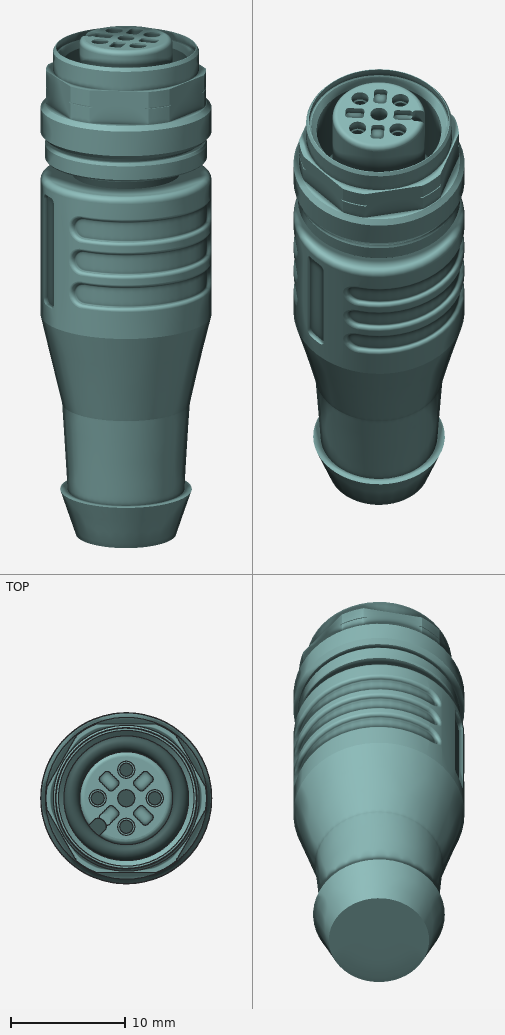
import cadquery as cq
import math

barb_bottom_dia = 8.8
barb_top_dia = 11.55
barb_height = 4.1
sleeve_bottom_dia = 10.25
sleeve_top_dia = 11.2
sleeve_top_z = 12.0
body_dia = 15.0
body_bottom_z = 20.1
body_top_z = 33.0
body_edge_radius = 0.55
neck_dia = 9.4

groove_count = 3
groove_pitch = 3.0
groove_top_center_z = 29.8
groove_height = 1.87
groove_floor_dia = 14.15
groove_end_x = 3.18
groove_edge_radius = 0.3
groove_floor_radius = 0.12

recess_width = 2.12
recess_bottom_z = 21.75
recess_top_z = 31.85
recess_corner_radius = 0.5
recess_floor_y = 7.05

flange_bottom_z = 34.0
flange_bottom_dia = 11.8
flange_top_dia = 12.0
ring_dia = 14.25
ring_bottom_z = 34.4
ring_top_z = 36.05
ring_edge_radial = 0.13
ring_top_edge_height = 0.25
ring_bottom_edge_height = 0.15
nut_neck_dia = 13.0
collar_bottom_z = 36.45
collar_top_z = 39.5
collar_chamfer = 0.4
hex_across_flats = 13.05
hex_corner_dia = 14.05
hex_top_z = 42.5
hex_mark_dia = 13.85
hex_mark_width = 0.1
nut_dia = 12.8
nut_top_z = 44.55
nut_edge_radial = 0.2
nut_edge_height = 0.3

bore_dia = 10.95
bore_floor_z = 36.2
mouth_dia = 12.3
mouth_depth = 0.7
lead_in_dia = 11.9
lead_in_height = 0.5

insert_dia = 8.15
insert_top_z = 45.4
insert_edge_radius = 0.45
contact_count = 4
contact_circle_radius = 2.5
contact_mouth_dia = 1.5
contact_mouth_depth = 0.9
contact_bore_dia = 1.15
contact_depth = 5.0
pocket_inner_r = 1.3
pocket_outer_r = 2.95
pocket_width = 1.15
pocket_depth = 0.6
pocket_corner_radius = 0.3
keyway_width = 1.3
keyway_inner_r = 2.8
keyway_shoulder_r = 3.15
keyway_angle = 225


def cylinder(diameter, bottom_z, top_z):
    return cq.Workplane("XY", origin=(0, 0, bottom_z)).circle(diameter / 2).extrude(top_z - bottom_z)


def revolve_profile(points):
    """Revolve an (r, z) outline about the Z axis."""
    return cq.Workplane("XZ").polyline(points).close().revolve(360, (0, 0), (0, 1))


def grip_body():
    tail = revolve_profile([
        (0, 0),
        (barb_bottom_dia / 2, 0),
        (barb_top_dia / 2, barb_height),
        (sleeve_bottom_dia / 2, barb_height),
        (sleeve_top_dia / 2, sleeve_top_z),
        (body_dia / 2, body_bottom_z),
        (0, body_bottom_z),
    ])
    barrel = cylinder(body_dia, body_bottom_z, body_top_z).faces(">Z").edges().fillet(body_edge_radius)
    return barrel.union(tail)


def finger_groove(side, center_z):
    """Stadium-ended band removed outside the groove floor cylinder; side is +1 or -1 in X."""
    end_radius = groove_height / 2
    arc_x = groove_end_x + end_radius
    outer_x = body_dia
    band = (
        cq.Workplane("XZ", origin=(0, body_dia, 0))
        .moveTo(side * outer_x, center_z - end_radius)
        .lineTo(side * arc_x, center_z - end_radius)
        .threePointArc((side * groove_end_x, center_z), (side * arc_x, center_z + end_radius))
        .lineTo(side * outer_x, center_z + end_radius)
        .close()
        .extrude(2 * body_dia)
    )
    band = band.cut(cylinder(groove_floor_dia, center_z - groove_height, center_z + groove_height))
    floor_point = (side * groove_floor_dia / 2, 0, center_z)
    return band.faces(cq.selectors.NearestToPointSelector(floor_point)).edges().fillet(groove_floor_radius)


def groove_rims(body):
    """Edges where the finger grooves break through the outer surface of the body."""
    half_pitch = groove_pitch / 2
    top = groove_top_center_z + half_pitch
    bottom = groove_top_center_z - (groove_count - 1) * groove_pitch - half_pitch
    tolerance = 0.01
    rims = []
    for edge in body.edges().vals():
        box = edge.BoundingBox()
        middle = edge.positionAt(0.5)
        on_surface = abs(math.hypot(middle.x, middle.y) - body_dia / 2) < tolerance
        if on_surface and box.zmin > bottom and box.zmax < top and box.zlen < groove_pitch:
            rims.append(edge)
    return body.newObject(rims)


def cut_finger_grooves(body):
    for side in (1, -1):
        for index in range(groove_count):
            body = body.cut(finger_groove(side, groove_top_center_z - index * groove_pitch))
    return groove_rims(body).fillet(groove_edge_radius)


def cut_marking_recesses(body):
    height = recess_top_z - recess_bottom_z
    depth = body_dia / 2 - recess_floor_y
    for side in (1, -1):
        block = (
            cq.Workplane("XY")
            .box(recess_width, depth, height)
            .edges("|Y")
            .fillet(recess_corner_radius)
            .translate((0, side * (recess_floor_y + depth / 2), (recess_bottom_z + recess_top_z) / 2))
        )
        body = body.cut(block)
    return body


def nut_hex():
    height = hex_top_z - collar_top_z
    hexagon = (
        cq.Workplane("XY", origin=(0, 0, collar_top_z))
        .polygon(6, hex_across_flats / math.cos(math.pi / 6))
        .extrude(height)
    )
    middle_z = collar_top_z + height / 2
    mark = cylinder(body_dia, middle_z - hex_mark_width / 2, middle_z + hex_mark_width / 2).cut(
        cylinder(hex_mark_dia, collar_top_z, hex_top_z)
    )
    return hexagon.intersect(cylinder(hex_corner_dia, collar_top_z, hex_top_z)).cut(mark)


def nut_turned_parts():
    """Flange, ring, collar and threaded end of the nut as one outline."""
    return revolve_profile([
        (0, flange_bottom_z),
        (flange_bottom_dia / 2, flange_bottom_z),
        (flange_top_dia / 2, ring_bottom_z),
        (ring_dia / 2 - ring_edge_radial, ring_bottom_z),
        (ring_dia / 2, ring_bottom_z + ring_bottom_edge_height),
        (ring_dia / 2, ring_top_z - ring_top_edge_height),
        (ring_dia / 2 - ring_edge_radial, ring_top_z),
        (nut_neck_dia / 2, ring_top_z),
        (nut_neck_dia / 2, collar_bottom_z),
        (body_dia / 2 - collar_chamfer, collar_bottom_z),
        (body_dia / 2, collar_bottom_z + collar_chamfer),
        (body_dia / 2, collar_top_z - collar_chamfer),
        (body_dia / 2 - collar_chamfer, collar_top_z),
        (nut_dia / 2, collar_top_z),
        (nut_dia / 2, nut_top_z - nut_edge_height),
        (nut_dia / 2 - nut_edge_radial, nut_top_z),
        (0, nut_top_z),
    ])


def nut_bore():
    ledge_z = nut_top_z - mouth_depth
    return revolve_profile([
        (0, bore_floor_z),
        (bore_dia / 2, bore_floor_z),
        (bore_dia / 2, ledge_z - lead_in_height),
        (lead_in_dia / 2, ledge_z),
        (mouth_dia / 2, ledge_z),
        (mouth_dia / 2, nut_top_z),
        (0, nut_top_z),
    ])


def seal_ring():
    """Half-round seal filling the gap between the insert and the bore."""
    inner_r = insert_dia / 2
    outer_r = bore_dia / 2
    crown = ((inner_r + outer_r) / 2, bore_floor_z + (outer_r - inner_r) / 2)
    return (
        cq.Workplane("XZ")
        .moveTo(inner_r, bore_floor_z)
        .threePointArc(crown, (outer_r, bore_floor_z))
        .close()
        .revolve(360, (0, 0), (0, 1))
    )


def contact_hole(x, y):
    bore = cylinder(contact_bore_dia, insert_top_z - contact_depth, insert_top_z)
    mouth = cylinder(contact_mouth_dia, insert_top_z - contact_mouth_depth, insert_top_z)
    return bore.union(mouth).translate((x, y, 0))


def insert_pocket(angle):
    length = pocket_outer_r - pocket_inner_r
    return (
        cq.Workplane("XY")
        .box(length, pocket_width, pocket_depth)
        .edges("|Z")
        .fillet(pocket_corner_radius)
        .translate((pocket_inner_r + length / 2, 0, insert_top_z - pocket_depth / 2))
        .rotate((0, 0, 0), (0, 0, 1), angle)
    )


def keyway():
    half_width = keyway_width / 2
    return (
        cq.Workplane("XY", origin=(0, 0, bore_floor_z))
        .moveTo(insert_dia, -half_width)
        .lineTo(keyway_shoulder_r, -half_width)
        .threePointArc((keyway_inner_r, 0), (keyway_shoulder_r, half_width))
        .lineTo(insert_dia, half_width)
        .close()
        .extrude(insert_top_z - bore_floor_z)
        .rotate((0, 0, 0), (0, 0, 1), keyway_angle)
    )


def contact_insert():
    insert = cylinder(insert_dia, bore_floor_z, insert_top_z).faces(">Z").edges().fillet(insert_edge_radius)
    for index in range(contact_count):
        angle_deg = index * 360 / contact_count
        angle = math.radians(angle_deg)
        hole_x = contact_circle_radius * math.cos(angle)
        hole_y = contact_circle_radius * math.sin(angle)
        insert = insert.cut(contact_hole(hole_x, hole_y))
        insert = insert.cut(insert_pocket(angle_deg + 180 / contact_count))
    insert = insert.cut(cylinder(contact_mouth_dia, insert_top_z - contact_depth, insert_top_z))
    return insert.cut(keyway())


body = cut_marking_recesses(cut_finger_grooves(grip_body()))
nut = nut_turned_parts().union(nut_hex()).cut(nut_bore())
neck = cylinder(neck_dia, body_top_z, flange_bottom_z)
result = body.union(neck).union(nut).union(contact_insert()).union(seal_ring())